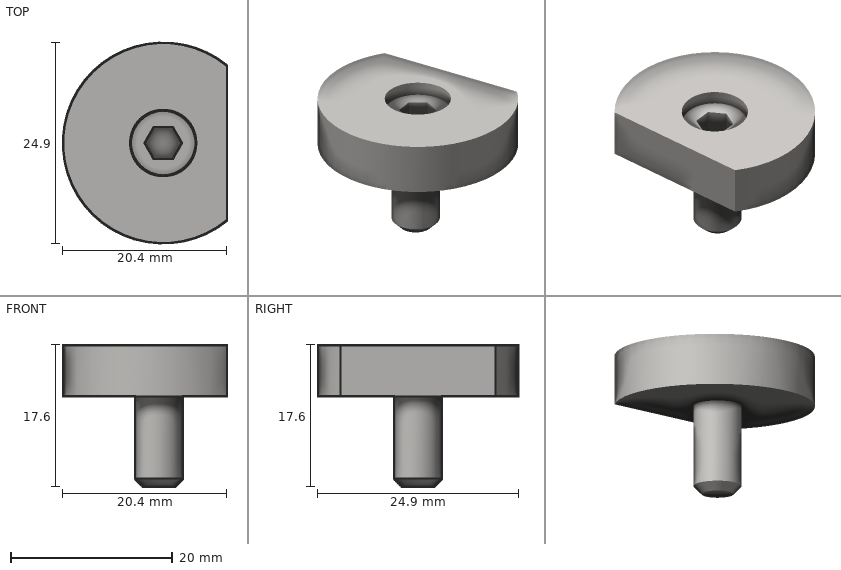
import cadquery as cq
import math

disc_diameter = 24.9
disc_height = 6.37
flat_x = 7.92
recess_diameter = 8.21
recess_depth = 5.13

head_clearance = 0.1
head_diameter = recess_diameter - 2 * head_clearance
head_drop = 1.65
shank_diameter = 6.0
shank_offset_x = -0.52
shank_length = 11.23
tip_chamfer = 1.02
hex_across_flats = 4.0
hex_depth = 2.99

recess_floor_z = disc_height - recess_depth
head_top_z = disc_height - head_drop
hex_across_corners = hex_across_flats / math.cos(math.pi / 6)


def cylinder(diameter, bottom_z, top_z, center_x=0.0):
    """Upright cylinder between two heights."""
    return (
        cq.Workplane("XY", origin=(center_x, 0, bottom_z))
        .circle(diameter / 2)
        .extrude(top_z - bottom_z)
    )


def make_disc():
    """Round disc with one flat, a head recess and an off-centre shank hole."""
    disc = cylinder(disc_diameter, 0, disc_height)
    beyond_flat = cq.Workplane("XY", origin=(flat_x, 0, 0)).box(
        disc_diameter, disc_diameter, disc_height, centered=(False, True, False)
    )
    recess = cylinder(recess_diameter, recess_floor_z, disc_height)
    shank_hole = cylinder(shank_diameter, 0, recess_floor_z, shank_offset_x)
    return disc.cut(beyond_flat).cut(recess).cut(shank_hole)


def make_screw():
    """Screw with an eccentric shank, a chamfered tip and a hexagon socket."""
    head = cylinder(head_diameter, recess_floor_z, head_top_z)
    shank = cylinder(shank_diameter, -shank_length, recess_floor_z, shank_offset_x)
    shank = shank.faces("<Z").chamfer(tip_chamfer)
    socket = (
        cq.Workplane("XY", origin=(0, 0, head_top_z))
        .polygon(6, hex_across_corners)
        .extrude(-hex_depth)
    )
    return head.union(shank).cut(socket)


disc = make_disc()
screw = make_screw()
result = cq.Compound.makeCompound([disc.solids().val(), screw.solids().val()])